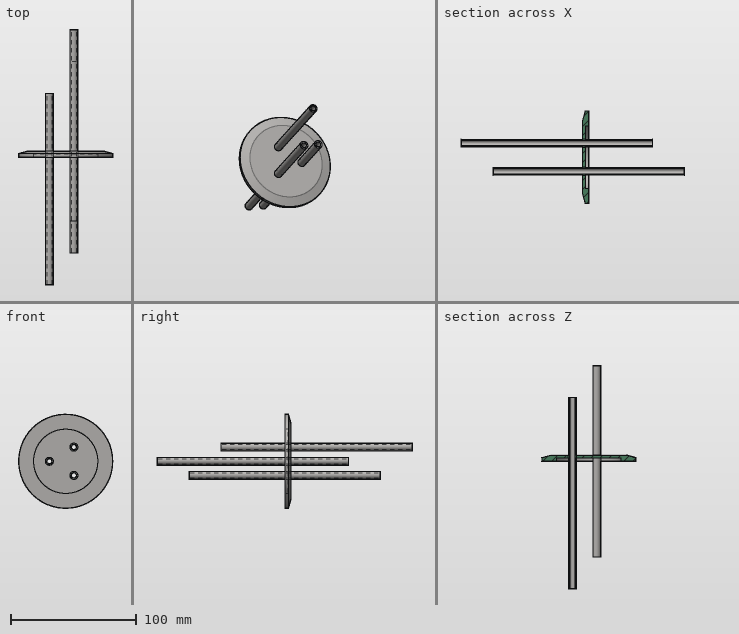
import cadquery as cq
import math

flange_diameter = 75.0
flange_thickness = 5.0
rim_width = 3.0
clamp_taper_angle = 15.0
sealing_face_y = 0.0

recess_diameter = 51.2
recess_depth = 2.5

tube_outer_diameter = 6.35
tube_bore_diameter = 3.95
tube_length = 152.4
tube_circle_radius = 13.0
tube_count = 3
first_tube_angle = 180.0
tube_middle_positions_y = [-25.4, 0.0, 25.4]


def tube_centre(index):
    """X and Z of one tube's axis; successive tubes go round the circle."""
    angle = math.radians(first_tube_angle + index * 360.0 / tube_count)
    return tube_circle_radius * math.cos(angle), tube_circle_radius * math.sin(angle)


def cylinder_along_y(diameter, start_y, length, centre_x=0.0, centre_z=0.0):
    """Cylinder that starts at start_y and runs towards +Y."""
    start = cq.Vector(centre_x, start_y, centre_z)
    return cq.Workplane(cq.Solid.makeCylinder(diameter / 2, length, start, cq.Vector(0, 1, 0)))


def make_flange():
    """Disc with a tapered back, a recessed front and a through hole for each tube."""
    rim_radius = flange_diameter / 2
    taper_height = flange_thickness - rim_width
    back_radius = rim_radius - taper_height / math.tan(math.radians(clamp_taper_angle))
    back_y = sealing_face_y + flange_thickness

    disc = (
        cq.Workplane("XY")
        .moveTo(0, sealing_face_y)
        .lineTo(rim_radius, sealing_face_y)
        .lineTo(rim_radius, sealing_face_y + rim_width)
        .lineTo(back_radius, back_y)
        .lineTo(0, back_y)
        .close()
        .revolve(360, (0, 0, 0), (0, 1, 0))
    )
    disc = disc.cut(cylinder_along_y(recess_diameter, sealing_face_y, recess_depth))
    for index in range(tube_count):
        centre_x, centre_z = tube_centre(index)
        hole = cylinder_along_y(
            tube_outer_diameter, sealing_face_y, flange_thickness, centre_x, centre_z
        )
        disc = disc.cut(hole)
    return disc


def make_tube(index):
    """Straight open tube through the flange."""
    centre_x, centre_z = tube_centre(index)
    start_y = tube_middle_positions_y[index] - tube_length / 2
    outside = cylinder_along_y(tube_outer_diameter, start_y, tube_length, centre_x, centre_z)
    bore = cylinder_along_y(tube_bore_diameter, start_y, tube_length, centre_x, centre_z)
    return outside.cut(bore)


flange = make_flange()
tubes = [make_tube(index) for index in range(tube_count)]

result = cq.Compound.makeCompound([flange.val(), *[tube.val() for tube in tubes]])